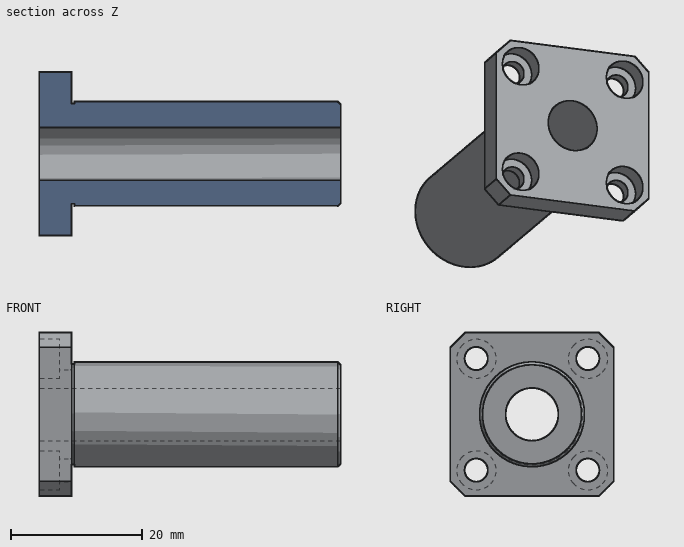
import cadquery as cq

total_length = 46.0
flange_side = 25.0
flange_thickness = 4.95
flange_corner_chamfer = 2.3

barrel_diameter = 16.0
bore_diameter = 8.0
barrel_end_chamfer = 0.45
relief_width = 0.4
relief_diameter = 15.35

hole_spacing = 17.0
hole_diameter = 3.5
counterbore_diameter = 6.0
counterbore_depth = 3.1


def make_flange():
    """Square plate with chamfered corners."""
    plate = cq.Workplane("YZ").rect(flange_side, flange_side).extrude(flange_thickness)
    return plate.edges("|X").chamfer(flange_corner_chamfer)


def make_barrel():
    """Cylinder with a chamfered free end and a relief neck at the flange."""
    barrel_start = flange_thickness + relief_width
    neck = cq.Workplane("YZ").circle(relief_diameter / 2).extrude(barrel_start)
    barrel = (
        cq.Workplane("YZ", origin=(barrel_start, 0, 0))
        .circle(barrel_diameter / 2)
        .extrude(total_length - barrel_start)
        .faces(">X")
        .edges()
        .chamfer(barrel_end_chamfer)
    )
    return neck.union(barrel)


def make_mounting_holes():
    """Cutters for the four holes, counterbored from the flange face."""
    pattern = cq.Workplane("YZ").rect(hole_spacing, hole_spacing, forConstruction=True).vertices()
    through_holes = pattern.circle(hole_diameter / 2).extrude(flange_thickness)
    counterbores = pattern.circle(counterbore_diameter / 2).extrude(counterbore_depth)
    return through_holes.union(counterbores)


bore = cq.Workplane("YZ").circle(bore_diameter / 2).extrude(total_length)

result = make_flange().union(make_barrel()).cut(bore).cut(make_mounting_holes())